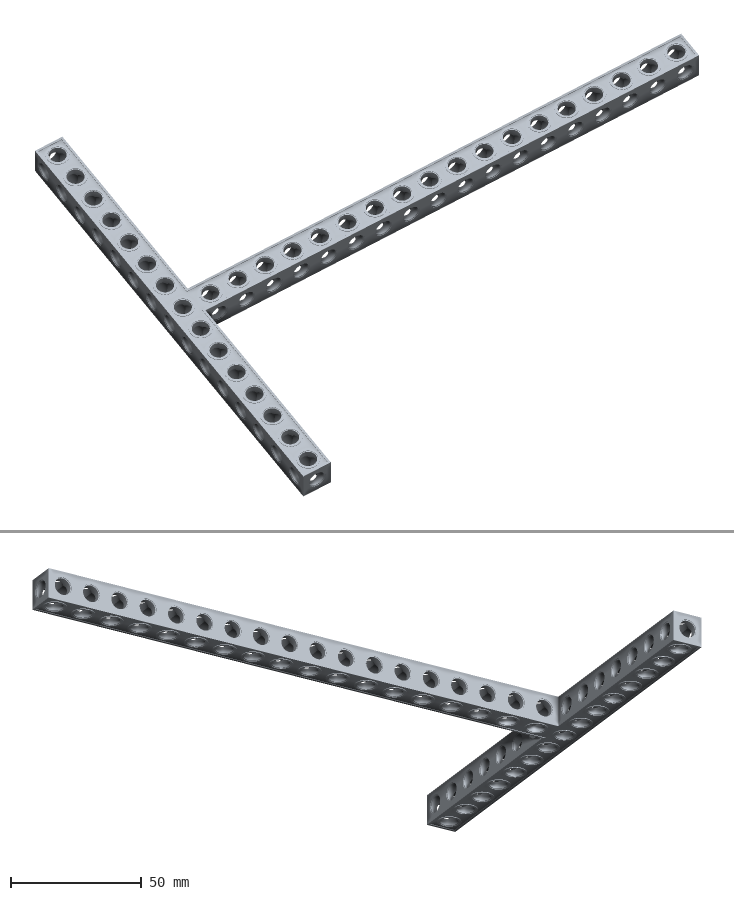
import cadquery as cq

length = 237.5
stem_cells = 19
bar_cells = 15
hole_diameter = 7.0
mouth_diameter = 7.5
mouth_depth = 0.2
collar_diameter = 9.3
rim_width = 1.0
recess_depth = 0.2

pitch = length / stem_cells
bar_length = bar_cells * pitch
half_width = pitch / 2
bar_axis_y = half_width - length / 2

bar_xs = [(i - (bar_cells - 1) / 2) * pitch for i in range(bar_cells)]
stem_ys = [bar_axis_y + i * pitch for i in range(1, stem_cells)]
cell_centres = [(x, bar_axis_y) for x in bar_xs] + [(0, y) for y in stem_ys]
bar_side_xs = [x for x in bar_xs if abs(x) > half_width]


def tee(inset, height):
    """T-shaped slab, centred on the origin, with its outline moved in by inset."""
    bar = cq.Workplane("XY").box(bar_length - 2 * inset, pitch - 2 * inset, height)
    stem = cq.Workplane("XY").box(pitch - 2 * inset, length - 2 * inset, height)
    return stem.union(bar.translate((0, bar_axis_y, 0)))


def cylinders(plane, points, diameter, depth):
    """Equal cylinders centred on a principal plane, half the depth to each side."""
    return cq.Workplane(plane).pushPoints(points).circle(diameter / 2).extrude(depth / 2, both=True)


def drill(body, plane, points, depth, shift=(0, 0, 0)):
    """Cut through holes with a shallow mouth step at both ends of their depth."""
    holes = cylinders(plane, points, hole_diameter, depth)
    wide = cylinders(plane, points, mouth_diameter, depth)
    between_mouths = cylinders(plane, points, mouth_diameter, depth - 2 * mouth_depth)
    mouths = wide.cut(between_mouths)
    return body.cut(holes.translate(shift)).cut(mouths.translate(shift))


body = tee(0, pitch)
collars = cylinders("XY", cell_centres, collar_diameter, recess_depth)
recess = tee(rim_width, recess_depth).cut(collars)
recess_centre_z = half_width - recess_depth / 2
for side in (1, -1):
    body = body.cut(recess.translate((0, 0, side * recess_centre_z)))

body = drill(body, "XY", cell_centres, pitch)

body = drill(body, "XZ", [(x, 0) for x in bar_side_xs], pitch, (0, bar_axis_y, 0))
body = drill(body, "XZ", [(0, 0)], length)

body = drill(body, "YZ", [(y, 0) for y in stem_ys], pitch)
body = drill(body, "YZ", [(bar_axis_y, 0)], bar_length)

result = body